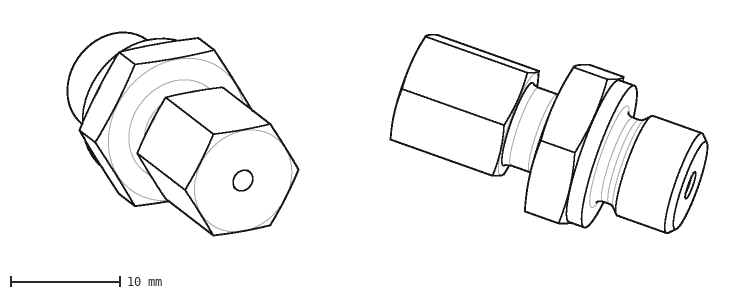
import cadquery as cq
import math

overall_length = 27.5
thread_end = 5.45
collar_start = 8.0
body_hex_start = 9.5
body_hex_end = 13.45
nut_start = 17.0

thread_radius = 9.74 / 2
thread_chamfer = 0.6
groove_radius = 8.2 / 2
groove_fillet = 0.82
collar_radius = 13.8 / 2

neck_radius = 7.6 / 2
neck_fillet = 1.05
neck_fillet_end = 16.34

body_across_flats = 14.0
nut_across_flats = 10.0
hex_chamfer_angle = math.radians(15)
face_circle_ratio = 0.99

bore_diameter = 2.0
bore_chamfer = 0.3

SIN_45 = math.sin(math.radians(45))
SIN_22 = math.sin(math.radians(22.5))
COS_22 = math.cos(math.radians(22.5))
groove_arc_top = groove_radius + groove_fillet * (1 - SIN_45)
groove_arc_start = thread_end + thread_radius - groove_arc_top
groove_floor_start = groove_arc_start + groove_fillet * SIN_45


def revolve_about_x(profile):
    return profile.close().revolve(360, (0, 0, 0), (1, 0, 0))


def spigot():
    """Threaded spigot, undercut groove with rounded corners, and sealing collar."""
    profile = (
        cq.Workplane("XY")
        .lineTo(0, thread_radius - thread_chamfer)
        .lineTo(thread_chamfer, thread_radius)
        .lineTo(thread_end, thread_radius)
        .lineTo(groove_arc_start, groove_arc_top)
        .threePointArc(
            (
                groove_floor_start - groove_fillet * SIN_22,
                groove_radius + groove_fillet * (1 - COS_22),
            ),
            (groove_floor_start, groove_radius),
        )
        .lineTo(collar_start - groove_fillet, groove_radius)
        .radiusArc((collar_start, groove_radius + groove_fillet), -groove_fillet)
        .lineTo(collar_start, collar_radius)
        .lineTo(body_hex_start, collar_radius)
        .lineTo(body_hex_start, 0)
    )
    return revolve_about_x(profile)


def neck():
    """Neck flared into the body hexagon and, partly, into the nut."""
    flare_end = neck_fillet_end + neck_fillet
    profile = (
        cq.Workplane("XY")
        .moveTo(body_hex_end, 0)
        .lineTo(body_hex_end, neck_radius + neck_fillet)
        .radiusArc((body_hex_end + neck_fillet, neck_radius), -neck_fillet)
        .lineTo(neck_fillet_end, neck_radius)
        .radiusArc((flare_end, neck_radius + neck_fillet), -neck_fillet)
        .lineTo(flare_end, 0)
    )
    return revolve_about_x(profile)


def chamfered_hex(start, end, across_flats):
    """Hexagon with corners along Y, its two ends trimmed by shallow cones."""
    corner_radius = across_flats / 2 / math.cos(math.radians(30))
    face_radius = face_circle_ratio * across_flats / 2
    chamfer_depth = (corner_radius - face_radius) * math.tan(hex_chamfer_angle)
    prism = (
        cq.Workplane("YZ", origin=(start, 0, 0))
        .polygon(6, 2 * corner_radius)
        .extrude(end - start)
    )
    envelope = revolve_about_x(
        cq.Workplane("XY")
        .moveTo(start, 0)
        .lineTo(start, face_radius)
        .lineTo(start + chamfer_depth, corner_radius)
        .lineTo(end - chamfer_depth, corner_radius)
        .lineTo(end, face_radius)
        .lineTo(end, 0)
    )
    return prism.intersect(envelope)


def bore():
    """Through bore, countersunk at the threaded end."""
    bore_radius = bore_diameter / 2
    profile = (
        cq.Workplane("XY")
        .lineTo(0, bore_radius + bore_chamfer)
        .lineTo(bore_chamfer, bore_radius)
        .lineTo(overall_length, bore_radius)
        .lineTo(overall_length, 0)
    )
    return revolve_about_x(profile)


result = (
    spigot()
    .union(chamfered_hex(body_hex_start, body_hex_end, body_across_flats))
    .union(neck())
    .union(chamfered_hex(nut_start, overall_length, nut_across_flats))
    .cut(bore())
)